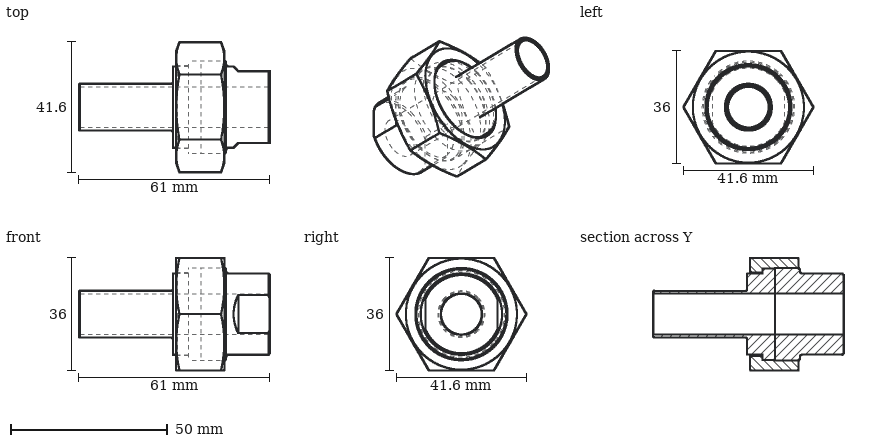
import cadquery as cq
import math

tube_end = 0.0
collar_face = 30.0
nut_left = 31.0
nut_right = 46.5
shoulder_face = 47.0
socket_end = 61.0

bore_dia = 13.0

tube_dia = 15.0
tube_end_chamfer = 0.3
tube_bore_chamfer = 0.2
collar_dia = 26.0
collar_edge_fillet = 0.2
collar_root_fillet = 0.4
flange_thickness = 4.0

nut_across_flats = 36.0
nut_across_corners = nut_across_flats / math.cos(math.radians(30))
nut_face_dia = 35.5
nut_corner_angle = 20.0
nut_lip_thickness = 4.0
nut_lip_dia = 26.5
nut_lip_chamfer = 0.5
nut_bore_dia = 29.5

socket_dia = 26.0
socket_end_chamfer = 0.5
shoulder_edge_chamfer = 0.4
shoulder_root_fillet = 0.8
wrench_flats_width = 23.0
wrench_flat_start = 50.9

tolerance = 0.01

flange_left = nut_left + nut_lip_thickness
joint_face = flange_left + flange_thickness


def cylinder(start, end, diameter):
    """Cylinder on the X axis between two axial positions."""
    return cq.Workplane("YZ", origin=(start, 0, 0)).circle(diameter / 2).extrude(end - start)


def revolve_about_x(outline):
    """Turn an (axial position, radius) outline about the X axis."""
    return cq.Workplane("XY").polyline(outline).close().revolve(360, (0, 0, 0), (1, 0, 0))


def box_around_axis(position, half_width):
    """Selector for edges held by a thin box across the X axis."""
    low_corner = (position - tolerance, -half_width, -half_width)
    high_corner = (position + tolerance, half_width, half_width)
    return cq.selectors.BoxSelector(low_corner, high_corner, boundingbox=True)


def circle_at(position, diameter):
    """Selector for the circular edge of a given diameter at an axial position."""
    up_to_circle = box_around_axis(position, diameter / 2 + tolerance)
    inside_circle = box_around_axis(position, diameter / 2 - tolerance)
    return up_to_circle - inside_circle


def make_tail_piece():
    tail = cylinder(tube_end, joint_face, tube_dia)
    tail = tail.union(cylinder(collar_face, joint_face, collar_dia))
    tail = tail.union(cylinder(flange_left, joint_face, nut_bore_dia))
    tail = tail.edges(circle_at(tube_end, tube_dia)).chamfer(tube_end_chamfer)
    tail = tail.edges(circle_at(collar_face, tube_dia)).fillet(collar_root_fillet)
    tail = tail.edges(circle_at(collar_face, collar_dia)).fillet(collar_edge_fillet)
    tail = tail.cut(cylinder(tube_end, joint_face, bore_dia))
    return tail.edges(circle_at(tube_end, bore_dia)).chamfer(tube_bore_chamfer)


def make_nut():
    hexagon = (
        cq.Workplane("YZ", origin=(nut_left, 0, 0))
        .polygon(6, nut_across_corners)
        .extrude(nut_right - nut_left)
    )
    face_radius = nut_face_dia / 2
    corner_radius = nut_across_corners / 2
    cone_depth = (corner_radius - face_radius) * math.tan(math.radians(nut_corner_angle))
    envelope = revolve_about_x([
        (nut_left, 0),
        (nut_left, face_radius),
        (nut_left + cone_depth, corner_radius),
        (nut_right - cone_depth, corner_radius),
        (nut_right, face_radius),
        (nut_right, 0),
    ])
    nut = hexagon.intersect(envelope)
    nut = nut.cut(cylinder(nut_left, flange_left, nut_lip_dia))
    nut = nut.edges(circle_at(nut_left, nut_lip_dia)).chamfer(nut_lip_chamfer)
    return nut.cut(cylinder(flange_left, nut_right, nut_bore_dia))


def make_wrench_flat_cutter(side):
    """Block beyond one wrench flat, with a 45 degree run-out; side is +1 or -1 along Y."""
    flat = wrench_flats_width / 2
    clear = socket_dia / 2
    runout = clear - flat
    outline = [
        (wrench_flat_start, side * flat),
        (socket_end, side * flat),
        (socket_end, side * clear),
        (wrench_flat_start - runout, side * clear),
    ]
    return cq.Workplane("XY").polyline(outline).close().extrude(socket_dia / 2, both=True)


def make_socket_piece():
    socket = cylinder(joint_face, socket_end, socket_dia)
    socket = socket.union(cylinder(joint_face, shoulder_face, nut_bore_dia))
    socket = socket.edges(circle_at(shoulder_face, socket_dia)).fillet(shoulder_root_fillet)
    socket = socket.edges(circle_at(shoulder_face, nut_bore_dia)).chamfer(shoulder_edge_chamfer)
    socket = socket.edges(circle_at(socket_end, socket_dia)).chamfer(socket_end_chamfer)
    for side in (-1, 1):
        socket = socket.cut(make_wrench_flat_cutter(side))
    return socket.cut(cylinder(joint_face, socket_end, bore_dia))


tail_piece = make_tail_piece()
nut = make_nut()
socket_piece = make_socket_piece()

result = cq.Compound.makeCompound([
    tail_piece.solids().val(),
    nut.solids().val(),
    socket_piece.solids().val(),
])